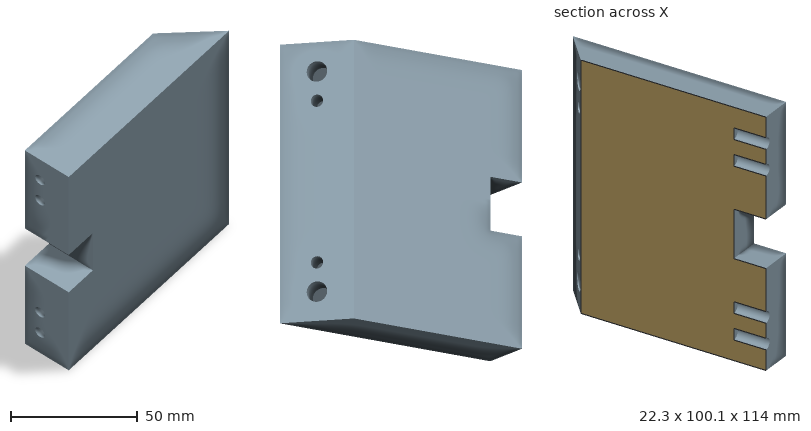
import cadquery as cq

thickness = 22.3
length = 100.1
height = 114.0
bevel_run = 20.1

notch_depth = 15.0
notch_height = 22.0

outer_hole_inset = 12.0
hole_spacing = 12.0
small_diameter = 5.0
large_diameter = 8.3
end_hole_x = 7.8
end_hole_depth = 15.0
bevel_hole_depth = 10.0

outer_hole_z = height / 2 - outer_hole_inset
inner_hole_z = outer_hole_z - hole_spacing


def plate():
    """Plate with one end cut to a bevel that faces -X and +Y."""
    outline = [
        (0, 0),
        (thickness, 0),
        (thickness, length),
        (0, length - bevel_run),
    ]
    return cq.Workplane("XY").polyline(outline).close().extrude(height / 2, both=True)


def notch():
    """Rectangular opening through the full thickness at the -Y end."""
    return cq.Workplane("XY").box(
        thickness, notch_depth, notch_height, centered=(False, False, True)
    )


def blind_holes(x, y, z, direction, diameter, depth):
    """Two flat-bottomed holes at heights +z and -z."""
    axis = cq.Vector(*direction)
    upper = cq.Solid.makeCylinder(diameter / 2, depth, cq.Vector(x, y, z), axis)
    lower = cq.Solid.makeCylinder(diameter / 2, depth, cq.Vector(x, y, -z), axis)
    return cq.Workplane("XY").newObject([upper, lower])


result = plate().cut(notch())

for hole_z in (outer_hole_z, inner_hole_z):
    result = result.cut(
        blind_holes(end_hole_x, 0, hole_z, (0, 1, 0), small_diameter, end_hole_depth)
    )

bevel_center_x = thickness / 2
bevel_center_y = length - bevel_run / 2
into_bevel = (bevel_run, -thickness, 0)
for hole_z, diameter in ((outer_hole_z, large_diameter), (inner_hole_z, small_diameter)):
    result = result.cut(
        blind_holes(bevel_center_x, bevel_center_y, hole_z, into_bevel, diameter, bevel_hole_depth)
    )